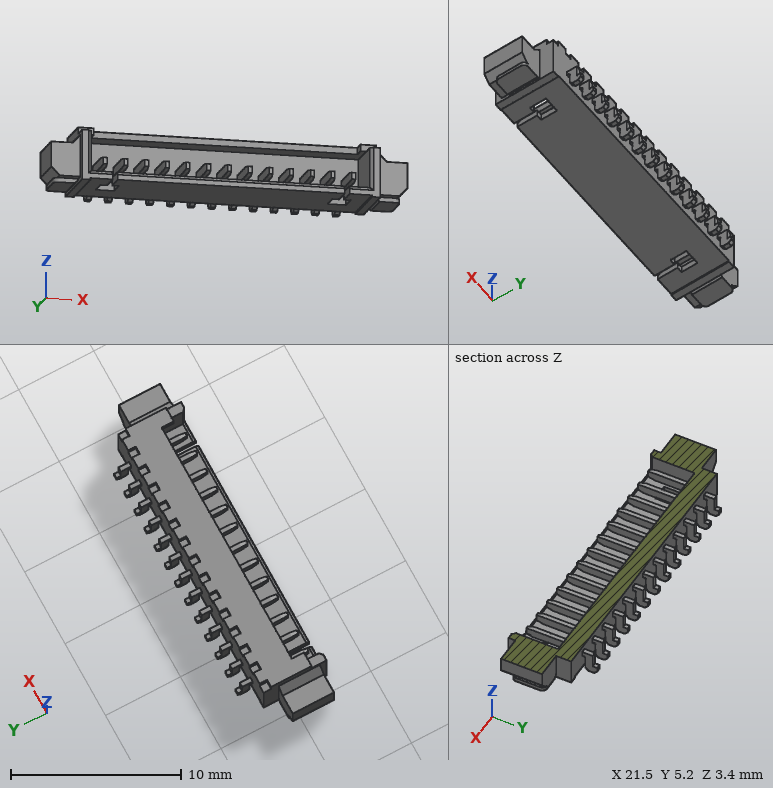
import cadquery as cq

PIN_COUNT = 13
PIN_PITCH = 1.25

HOUSING_LENGTH = 18.0
HOUSING_DEPTH = 4.2
HOUSING_TOP = 3.4
HOUSING_BOTTOM = 0.1
ROOF_THICKNESS = 0.4
SIDE_WALL = 0.6
BACK_WALL = 1.2
FLOOR_TOP = 0.6
FOOT_WIDTH = 0.5
LEAD_IN = 0.2

ROOF_FRONT_SETBACK = 1.0
ROOF_CENTER_SETBACK = 1.8
ROOF_TAB_WIDTH = 0.95
REAR_NOTCH_SIZE = 0.5

SLOT_CENTER = 7.0
SLOT_WIDTH = 0.3
SLOT_HEAD_WIDTH = 1.1
SLOT_HEAD_FRONT = 1.45
SLOT_HEAD_BACK = 2.6

OVERALL_LENGTH = 21.5
EAR_FRONT = 0.45
EAR_BACK = 3.2
EAR_TOP = 2.3
EAR_BOTTOM = 0.27
EAR_BEVEL = 0.5

TAB_REACH = 10.45
TAB_FRONT = 1.0
TAB_BEVEL = 0.2
TAB_CORNER_RADIUS = 0.3

PIN_WIDTH = 0.3
PIN_BOTTOM = 1.05
BLADE_TOP = 1.6
PIN_TIP_Y = 0.45
PIN_TIP_LENGTH = 0.45
PIN_TIP_SIDE_TAPER = 0.04
PIN_TIP_HEIGHT_TAPER = 0.08
TAIL_TOP = 1.35
TAIL_INNER_Y = 4.4
TAIL_OUTER_Y = 4.9
TAIL_BEND = 0.07
TAIL_END_Y = 5.2
TAIL_FOOT_TOP = 0.5
TAIL_FOOT_BEVEL = 0.2

HALF_LENGTH = HOUSING_LENGTH / 2
ROOF_BOTTOM = HOUSING_TOP - ROOF_THICKNESS
CAVITY_BACK = HOUSING_DEPTH - BACK_WALL
PIN_POSITIONS = [(i - (PIN_COUNT - 1) / 2) * PIN_PITCH for i in range(PIN_COUNT)]


def block(x_range, y_range, z_range):
    """Axis-aligned box given by its limits along each axis."""
    lows, highs = zip(x_range, y_range, z_range)
    sizes = [high - low for low, high in zip(lows, highs)]
    return cq.Workplane("XY").box(*sizes, centered=False).translate(lows)


def both_ends(left_body):
    """The left-hand body together with its mirror image on the right."""
    return left_body.union(left_body.mirror("YZ"))


def lead_in():
    """Cavity mouth flared toward the front face along its sides and floor."""
    half_inside = HALF_LENGTH - SIDE_WALL
    half_mouth = half_inside + LEAD_IN
    height_inside = ROOF_BOTTOM - FLOOR_TOP
    height_mouth = height_inside + LEAD_IN
    front = cq.Workplane("XZ", origin=(0, 0, ROOF_BOTTOM))
    return (
        front.center(0, -height_mouth / 2).rect(2 * half_mouth, height_mouth)
        .workplane(offset=-LEAD_IN)
        .center(0, LEAD_IN / 2).rect(2 * half_inside, height_inside)
        .loft(combine=True)
    )


def make_shell():
    """Open-fronted box standing on a foot along each side wall."""
    half_inside = HALF_LENGTH - SIDE_WALL
    shell = block((-HALF_LENGTH, HALF_LENGTH), (0, HOUSING_DEPTH), (HOUSING_BOTTOM, HOUSING_TOP))
    foot = block((-HALF_LENGTH, -HALF_LENGTH + FOOT_WIDTH), (0, HOUSING_DEPTH), (0, FLOOR_TOP))
    cavity = block((-half_inside, half_inside), (0, CAVITY_BACK), (FLOOR_TOP, ROOF_BOTTOM))
    return shell.union(both_ends(foot)).cut(cavity).cut(lead_in())


def roof_cuts():
    """Stepped setback of the roof's front edge, and the notches along its rear edge."""
    roof = (ROOF_BOTTOM, HOUSING_TOP)
    half_center = HALF_LENGTH - ROOF_TAB_WIDTH
    rear = (HOUSING_DEPTH - REAR_NOTCH_SIZE, HOUSING_DEPTH)
    cuts = block((-HALF_LENGTH, HALF_LENGTH), (0, ROOF_FRONT_SETBACK), roof)
    cuts = cuts.union(block((-half_center, half_center), (0, ROOF_CENTER_SETBACK), roof))
    cuts = cuts.union(both_ends(block((-HALF_LENGTH, -HALF_LENGTH + REAR_NOTCH_SIZE), rear, roof)))
    for x in PIN_POSITIONS:
        cuts = cuts.union(block((x - REAR_NOTCH_SIZE / 2, x + REAR_NOTCH_SIZE / 2), rear, roof))
    return cuts


def floor_slots():
    """T-shaped slots through the floor, open at the front and widened at their rear end."""
    floor = (0, FLOOR_TOP)
    half_stem = SLOT_WIDTH / 2
    half_head = SLOT_HEAD_WIDTH / 2
    stem = block((-SLOT_CENTER - half_stem, -SLOT_CENTER + half_stem), (0, SLOT_HEAD_FRONT), floor)
    head = block(
        (-SLOT_CENTER - half_head, -SLOT_CENTER + half_head),
        (SLOT_HEAD_FRONT, SLOT_HEAD_BACK),
        floor,
    )
    return both_ends(stem.union(head))


def make_ear():
    """Left mounting ear, bevelled below its outer edge and flared where it meets the wall."""
    outer = -OVERALL_LENGTH / 2
    profile = [
        (-HALF_LENGTH, EAR_BOTTOM),
        (outer + EAR_BEVEL, EAR_BOTTOM),
        (outer, EAR_BOTTOM + EAR_BEVEL),
        (outer, EAR_TOP),
        (-HALF_LENGTH - EAR_BEVEL, EAR_TOP),
        (-HALF_LENGTH, EAR_TOP + EAR_BEVEL),
    ]
    ear = cq.Workplane("XZ").polyline(profile).close().extrude(EAR_FRONT - EAR_BACK)
    return ear.translate((0, EAR_FRONT, 0))


def make_solder_tab():
    """Left solder tab: a flat plate with rounded outer corners and a bevel beside the foot."""
    tab = block((-TAB_REACH, -HALF_LENGTH), (TAB_FRONT, EAR_BACK), (0, EAR_BOTTOM))
    tab = tab.edges("|Z and <X").fillet(TAB_CORNER_RADIUS)
    return tab.edges("|Y and >X and <Z").chamfer(TAB_BEVEL)


def make_pin():
    """Pin centred on X = 0: a tapered blade in the cavity and a bent tail at the back."""
    blade_start = PIN_TIP_Y + PIN_TIP_LENGTH
    shoulder = CAVITY_BACK + BACK_WALL / 2
    profile = [
        (PIN_TIP_Y, PIN_BOTTOM + PIN_TIP_HEIGHT_TAPER),
        (blade_start, PIN_BOTTOM),
        (TAIL_INNER_Y - TAIL_BEND, PIN_BOTTOM),
        (TAIL_INNER_Y, PIN_BOTTOM - TAIL_BEND),
        (TAIL_INNER_Y, TAIL_FOOT_BEVEL),
        (TAIL_INNER_Y + TAIL_FOOT_BEVEL, 0),
        (TAIL_END_Y - TAIL_FOOT_BEVEL, 0),
        (TAIL_END_Y, TAIL_FOOT_BEVEL),
        (TAIL_END_Y, TAIL_FOOT_TOP),
        (TAIL_OUTER_Y, TAIL_FOOT_TOP),
        (TAIL_OUTER_Y, TAIL_TOP),
        (shoulder, TAIL_TOP),
        (shoulder, BLADE_TOP),
        (blade_start, BLADE_TOP),
        (PIN_TIP_Y, BLADE_TOP - PIN_TIP_HEIGHT_TAPER),
    ]
    half_width = PIN_WIDTH / 2
    side = cq.Workplane("YZ").polyline(profile).close().extrude(half_width, both=True)
    half_tip = half_width - PIN_TIP_SIDE_TAPER
    plan = [
        (-half_tip, PIN_TIP_Y),
        (half_tip, PIN_TIP_Y),
        (half_width, blade_start),
        (half_width, TAIL_END_Y),
        (-half_width, TAIL_END_Y),
        (-half_width, blade_start),
    ]
    return side.intersect(cq.Workplane("XY").polyline(plan).close().extrude(HOUSING_TOP))


housing = make_shell().cut(roof_cuts()).cut(floor_slots())
result = housing.union(both_ends(make_ear().union(make_solder_tab())))
pin = make_pin()
for pin_x in PIN_POSITIONS:
    result = result.union(pin.translate((pin_x, 0, 0)))